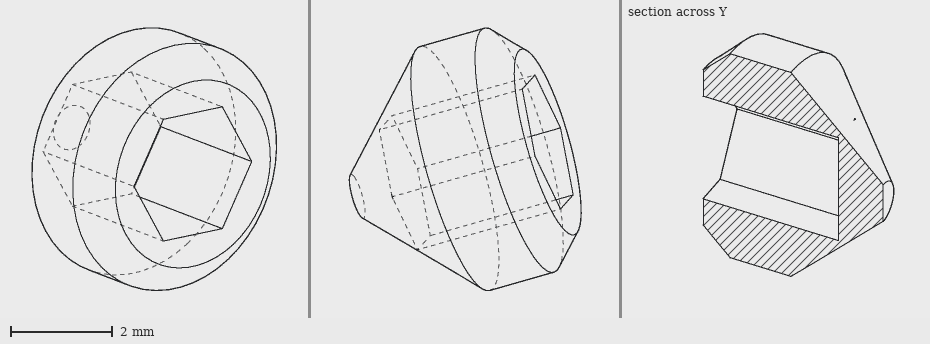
import cadquery as cq
import math

length = 4
body_radius = 2.5
tip_radius = 0.45
rear_chamfer = 0.6
nose_length = body_radius - tip_radius

socket_across_flats = 2.5
socket_depth = 3
socket_across_corners = socket_across_flats / math.cos(math.pi / 6)


def make_body():
    profile = (
        cq.Workplane("XZ")
        .lineTo(0, tip_radius)
        .lineTo(nose_length, body_radius)
        .lineTo(length - rear_chamfer, body_radius)
        .lineTo(length, body_radius - rear_chamfer)
        .lineTo(length, 0)
        .close()
    )
    return profile.revolve(360, (0, 0, 0), (1, 0, 0))


def make_socket():
    return (
        cq.Workplane("YZ", origin=(length - socket_depth, 0, 0))
        .polygon(6, socket_across_corners)
        .extrude(socket_depth)
    )


result = make_body().cut(make_socket())